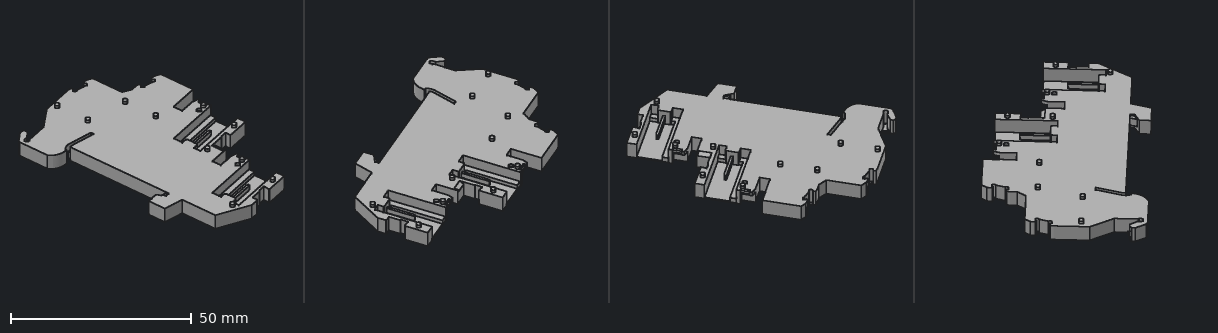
import cadquery as cq

LENGTH = 70.0
WIDTH = 46.5
BODY_HEIGHT = 5.0
PEG_HEIGHT = 0.9
PEG_ROOT = 0.5
PEG_RADIUS = 0.7
HOLE_DEPTH = PEG_HEIGHT
WEB_HEIGHT = 0.35
TIER_RISE = 12.5
WIRE_TIER_SHIFT = 14.15
SOCKET_TIER_SHIFT = 22.25

RAIL_FACE_Y = 6.5
LOWER_WIRE_TOP_Y = WIDTH - TIER_RISE
UPPER_SOCKET_TOP_Y = 43.8
LOWER_SOCKET_TOP_Y = UPPER_SOCKET_TOP_Y - TIER_RISE
UPPER_GAP_FLOOR_Y = 37.2
LOWER_GAP_FLOOR_Y = UPPER_GAP_FLOOR_Y - TIER_RISE
UPPER_GAP_LEFT_X = 27.85
LOWER_GAP_LEFT_X = 50.2
SHOULDER_X = 30.8
SHOULDER_TAPER_Y = 42.1
SHOULDER_TOP_X = 31.35
UPPER_TIER_SHIFT = (WIRE_TIER_SHIFT, TIER_RISE)
LOWER_SOCKET_SHIFT = (SOCKET_TIER_SHIFT, -TIER_RISE)

RAIL_HOOK_X = 14.8
FIXED_FOOT_X = 45.95
FIXED_FOOT_INNER_X = 48.5
FIXED_FOOT_BOTTOM_Y = 0.6
FOOT_CORNER_Y = 5.3
LEG_X = 3.8
UPPER_WING_X = 47.7
UPPER_WING_NOTCH_X = 45.95
LOWER_NOTCH_X = 68.3
LOWER_NOTCH_TOP_X = 68.0
END_CORNER = 0.25

SOCKET_LEFT = 35.85
SOCKET_RIGHT = 44.9
SOCKET_BOTTOM = 26.3
SOCKET_FLOOR_Z = 0.4
LEDGE_TOP_Z = 1.65
LEDGE_RIGHT = 37.7
LEDGE_FRONT = 28.0
SETBACK = 0.15
TAB_LEFT = 38.8
TAB_RIGHT = 42.7
TAB_FRONT = 28.2
TAB_CORNER = 0.25
PIN_LEFT = 40.4
PIN_WIDTH = 0.75
PIN_END_Y = 36.7
PIN_BOTTOM_Z = 1.65
PIN_TOP_Z = 3.3
PIN_TIP_LENGTH = 0.75
PIN_TIP_INSET = 0.12

CATCH_LEFT = 32.15
CATCH_RIGHT = 34.75
CATCH_DEPTH = 0.85
CATCH_SLOPE_LENGTH = 0.6
CATCH_STEP = 0.5
CATCH_DROP = 1.0
LIP_BOTTOM_Z = 3.7

RAMP_LEFT = 46.15
RAMP_RIGHT = 49.8
RAMP_LENGTH = 1.3
RAMP_DROP = 0.75

NOTCH_POINTS = [
    (0, 25.95),
    (0.2, 26.85),
    (0.75, 27.05),
    (1.95, 27.35),
    (2.72, 30.05),
    (2.1, 30.55),
    (1.5, 30.95),
    (1.5, 31.6),
    (1.65, 32.45),
]
NOTCH_TOP_X = 2.65
NOTCH_RELIEFS = [(2.5, 30.52, 0.56), (1.55, 26.95, 0.58)]

HOOK_WEB = [(1.4, 4.85), (2.1, 4.3), (LEG_X, 4.7), (LEG_X, 5.5)]
HOOK_WEB_HEIGHT = 0.5
HOOK_FLOOR = [(2.1, 4.3), (2.75, 2.8), (2.75, 1.85), (3.4, 1.2), (4.05, 1.85), (LEG_X, 2.6), (LEG_X, 4.7)]
SLOT_WEB = [(13.5, 7.1), (15.1, 7.1), (15.1, 8.0), (13.5, 8.0)]
SLOT_WEB_HEIGHT = 2.5
FOOT_WEB = [
    (47.45, RAIL_FACE_Y),
    (FIXED_FOOT_INNER_X, RAIL_FACE_Y),
    (FIXED_FOOT_INNER_X, FOOT_CORNER_Y),
    (46.85, 4.4),
]
FOOT_WEB_BOTTOM_Z = 1.9
FOOT_WEB_TOP_Z = 4.5

WIRE_PEGS = [(1.8, 18.3), (12.3, 18.3)]
SHOULDER_PEG = (34.35, 42.2)
SHOULDER_HOLE = (34.35, 40.2)
WING_PEG = (46.25, 40.3)
EXTRA_PEGS = [(46.25, 27.8), (65.85, 12.6)]


def shifted(points, shift):
    return [(x + shift[0], y + shift[1]) for x, y in points]


def block(left, right, bottom, top, z_low, z_high):
    size = (right - left, top - bottom, z_high - z_low)
    return cq.Workplane("XY").box(*size, centered=False).translate((left, bottom, z_low))


def prism(points, z_low, z_high):
    return cq.Workplane("XY").workplane(offset=z_low).polyline(points).close().extrude(z_high - z_low)


def cylinder(x, y, radius, z_low, z_high):
    return cq.Workplane("XY").workplane(offset=z_low).center(x, y).circle(radius).extrude(z_high - z_low)


def make_body():
    shoulder = [
        (SHOULDER_X, UPPER_GAP_FLOOR_Y),
        (SHOULDER_X, SHOULDER_TAPER_Y),
        (SHOULDER_TOP_X, UPPER_SOCKET_TOP_Y),
    ]
    outline = (
        cq.Workplane("XY")
        .moveTo(2.3, 0)
        .lineTo(11.75, 0)
        .lineTo(13.1, 0.9)
        .threePointArc((14.2, 2.4), (14.75, 4.3))
        .lineTo(14.95, 4.85)
        .lineTo(14.25, 5.0)
        .threePointArc((13.8, 6.3), (14.0, 8.0))
        .lineTo(15.85, 14.9)
        .lineTo(16.85, 14.9)
        .lineTo(14.95, 7.9)
        .lineTo(RAIL_HOOK_X, RAIL_FACE_Y)
        .lineTo(FIXED_FOOT_INNER_X, RAIL_FACE_Y)
        .lineTo(FIXED_FOOT_INNER_X, FOOT_CORNER_Y)
        .lineTo(FIXED_FOOT_X, 3.9)
        .lineTo(FIXED_FOOT_X, FIXED_FOOT_BOTTOM_Y)
        .lineTo(51.45, FIXED_FOOT_BOTTOM_Y)
        .lineTo(53.1, RAIL_FACE_Y)
        .lineTo(64.4, RAIL_FACE_Y)
        .lineTo(LENGTH, 16.0)
        .lineTo(LENGTH, 18.45)
        .lineTo(LENGTH - END_CORNER, 18.7)
        .lineTo(LOWER_NOTCH_X, 18.7)
        .lineTo(LOWER_NOTCH_X, 22.1)
        .lineTo(LOWER_NOTCH_TOP_X, 22.1)
        .lineTo(LOWER_NOTCH_TOP_X, 24.4)
        .lineTo(LENGTH - END_CORNER, 24.2)
        .lineTo(LENGTH, 24.45)
        .lineTo(LENGTH, LOWER_SOCKET_TOP_Y)
    )
    for point in reversed(shifted(shoulder, LOWER_SOCKET_SHIFT)):
        outline = outline.lineTo(*point)
    outline = (
        outline.lineTo(LOWER_GAP_LEFT_X, LOWER_GAP_FLOOR_Y)
        .lineTo(LOWER_GAP_LEFT_X, LOWER_SOCKET_TOP_Y)
        .lineTo(RAMP_LEFT, LOWER_SOCKET_TOP_Y)
        .lineTo(RAMP_LEFT, 34.6)
        .lineTo(UPPER_WING_NOTCH_X, 34.6)
        .lineTo(UPPER_WING_NOTCH_X, 36.75)
        .lineTo(UPPER_WING_X, 36.6)
        .lineTo(UPPER_WING_X, UPPER_SOCKET_TOP_Y)
    )
    for point in reversed(shoulder):
        outline = outline.lineTo(*point)
    outline = outline.lineTo(UPPER_GAP_LEFT_X, UPPER_GAP_FLOOR_Y).lineTo(UPPER_GAP_LEFT_X, WIDTH)
    notch = NOTCH_POINTS + [(NOTCH_TOP_X, LOWER_WIRE_TOP_Y)]
    for point in reversed(shifted(notch, UPPER_TIER_SHIFT)):
        outline = outline.lineTo(*point)
    outline = outline.lineTo(WIRE_TIER_SHIFT, 36.4).lineTo(12.6, LOWER_WIRE_TOP_Y)
    for point in reversed(notch):
        outline = outline.lineTo(*point)
    outline = (
        outline.lineTo(0, 15.85)
        .lineTo(LEG_X, 9.2)
        .lineTo(LEG_X, 2.6)
        .lineTo(4.05, 2.3)
        .lineTo(4.05, 1.85)
        .threePointArc((3.4, 1.2), (2.75, 1.85))
        .lineTo(2.75, 2.8)
        .lineTo(1.4, 4.85)
        .lineTo(0.5, 4.85)
        .lineTo(0, 4.3)
        .lineTo(0, 3.3)
        .lineTo(1.65, 0.4)
        .close()
    )
    return outline.extrude(BODY_HEIGHT)


def cut_notch_reliefs(body):
    """Round reliefs in both corners of each wire notch, closed by a thin membrane below."""
    for x, y, radius in NOTCH_RELIEFS:
        for dx, dy in [(0, 0), UPPER_TIER_SHIFT]:
            body = body.cut(cylinder(x + dx, y + dy, radius, WEB_HEIGHT, BODY_HEIGHT))
    return body


def add_foot_webs(body):
    """Low webs behind the release hook, across the flex slot and in the fixed foot's corner."""
    body = body.union(prism(HOOK_WEB, 0, HOOK_WEB_HEIGHT))
    body = body.union(prism(HOOK_FLOOR, 0, WEB_HEIGHT))
    body = body.union(prism(SLOT_WEB, 0, SLOT_WEB_HEIGHT))
    return body.union(prism(FOOT_WEB, FOOT_WEB_BOTTOM_Z, FOOT_WEB_TOP_Z))


def make_pin():
    """Contact pin with a tapered tip, standing out of the socket's tab."""
    pin_right = PIN_LEFT + PIN_WIDTH
    shaft_end = PIN_END_Y - PIN_TIP_LENGTH
    pin = block(PIN_LEFT, pin_right, TAB_FRONT, shaft_end, PIN_BOTTOM_Z, PIN_TOP_Z)
    tip_width = PIN_WIDTH - 2 * PIN_TIP_INSET
    tip_height = PIN_TOP_Z - PIN_BOTTOM_Z - 2 * PIN_TIP_INSET
    tip = (
        pin.faces(">Y")
        .workplane(centerOption="CenterOfMass")
        .rect(PIN_WIDTH, PIN_TOP_Z - PIN_BOTTOM_Z)
        .workplane(offset=PIN_TIP_LENGTH)
        .rect(tip_width, tip_height)
        .loft(combine=False)
    )
    return pin.union(tip)


def make_socket_cavity():
    """Space removed for one plug socket: stepped floor, rounded tab and contact pin remain."""
    top = UPPER_SOCKET_TOP_Y
    cavity = block(SOCKET_LEFT, SOCKET_RIGHT, SOCKET_BOTTOM, top, LEDGE_TOP_Z, BODY_HEIGHT)
    deep_part = block(LEDGE_RIGHT, SOCKET_RIGHT, LEDGE_FRONT, top, SOCKET_FLOOR_Z, BODY_HEIGHT)
    tab = block(TAB_LEFT, TAB_RIGHT, SOCKET_BOTTOM, TAB_FRONT, SOCKET_FLOOR_Z, BODY_HEIGHT)
    tab = tab.edges("|Z and >Y").chamfer(TAB_CORNER)
    setback = block(SOCKET_LEFT, SOCKET_RIGHT, top - SETBACK, top, 0, BODY_HEIGHT)
    return cavity.union(deep_part).union(setback).cut(tab).cut(make_pin())


def make_shoulder_cutouts():
    """Sloped catch and undercut of the lip at the end of one shoulder."""
    top = UPPER_SOCKET_TOP_Y
    step_z = BODY_HEIGHT - CATCH_STEP
    catch = (
        cq.Workplane("YZ")
        .workplane(offset=CATCH_LEFT)
        .polyline(
            [
                (top, BODY_HEIGHT),
                (top - CATCH_DEPTH, BODY_HEIGHT),
                (top - CATCH_SLOPE_LENGTH, step_z),
                (top, BODY_HEIGHT - CATCH_DROP),
            ]
        )
        .close()
        .extrude(CATCH_RIGHT - CATCH_LEFT)
    )
    undercut = block(SHOULDER_X, CATCH_RIGHT, SHOULDER_TAPER_Y, top, 0, LIP_BOTTOM_Z)
    hole = cylinder(*SHOULDER_HOLE, PEG_RADIUS, BODY_HEIGHT - HOLE_DEPTH, BODY_HEIGHT)
    setback = block(CATCH_LEFT, CATCH_RIGHT, top - SETBACK, top, 0, BODY_HEIGHT)
    return catch.union(setback).union(undercut).union(hole)


def make_ramp():
    """Wedge removed from the top of the ledge beside the upper socket."""
    top = LOWER_SOCKET_TOP_Y
    return (
        cq.Workplane("YZ")
        .workplane(offset=RAMP_LEFT)
        .polyline([(top - RAMP_LENGTH, BODY_HEIGHT), (top, BODY_HEIGHT), (top, BODY_HEIGHT - RAMP_DROP)])
        .close()
        .extrude(RAMP_RIGHT - RAMP_LEFT)
    )


def add_pegs(body):
    socket_pegs = [SHOULDER_PEG, WING_PEG]
    pegs = WIRE_PEGS + shifted(WIRE_PEGS, UPPER_TIER_SHIFT)
    pegs += socket_pegs + shifted(socket_pegs, LOWER_SOCKET_SHIFT) + EXTRA_PEGS
    for x, y in pegs:
        peg = cylinder(x, y, PEG_RADIUS, BODY_HEIGHT - PEG_ROOT, BODY_HEIGHT + PEG_HEIGHT)
        body = body.union(peg)
    return body


result = cut_notch_reliefs(make_body())
result = add_foot_webs(result)
for cutout in [make_socket_cavity(), make_shoulder_cutouts()]:
    result = result.cut(cutout)
    result = result.cut(cutout.translate((*LOWER_SOCKET_SHIFT, 0)))
result = result.cut(make_ramp())
result = add_pegs(result)